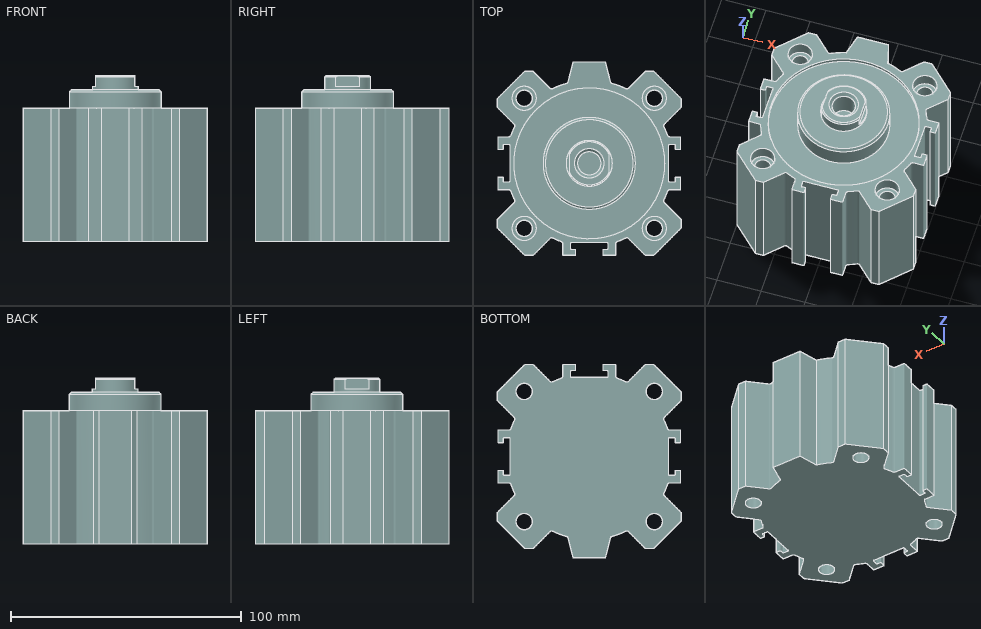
import cadquery as cq
import math

HOUSING_HEIGHT = 58.0
HALF_WIDTH = 40.0
BARREL_RADIUS = 36.1
ROOT_FILLET = 1.0
EDGE_TOLERANCE = 0.01

TIP_FLAT_START = 24.4
TIP_FLAT_END = 28.0
HOLE_OFFSET = 28.2
HOLE_DIAMETER = 7.0
COUNTERBORE_DIAMETER = 10.5
COUNTERBORE_DEPTH = 6.5

RAIL_HALF_WIDTH = 11.5
SLOT_HALF_WIDTH = 8.1
SLOT_MOUTH_HALF_WIDTH = 6.0
SLOT_FLOOR = 34.4
LIP_INNER = 37.3
SIDE_RAIL_REACH = 39.65
FRONT_RAIL_REACH = HALF_WIDTH
RAIL_CORNER_FILLET = 0.25

PORT_REACH = 44.0
PORT_TIP_HALF_WIDTH = 7.05
PORT_ROOT_HALF_WIDTH = 9.4
PORT_ROOT_DISTANCE = 34.8

RECESS_DIAMETER = 65.5
RECESS_DEPTH = 2.0
RECESS_FLOOR = HOUSING_HEIGHT - RECESS_DEPTH
BOSS_DIAMETER = 40.0
BOSS_TOP = 65.9
BOSS_CHAMFER = 1.0

ROD_DIAMETER = 20.0
ROD_TOP = 72.0
ROD_BOTTOM = RECESS_FLOOR
ROD_CHAMFER = 0.6
FLAT_WIDTH = 17.1
FLAT_HEIGHT = 4.6
ROD_HOLE_DIAMETER = 10.1
ROD_HOLE_MOUTH_DIAMETER = 12.8
COUNTERSINK_ANGLE = 90
ROD_HOLE_DEPTH = 12.6


def cylinder(diameter, bottom, top):
    """Upright cylinder on the Z axis between two heights."""
    return cq.Workplane("XY", origin=(0, 0, bottom)).circle(diameter / 2).extrude(top - bottom)


def prism(points):
    """Extrude a closed outline over the full housing height."""
    return cq.Workplane("XY").polyline(points).close().extrude(HOUSING_HEIGHT)


def arm(angle):
    """One diagonal arm, modelled towards +X +Y and turned about Z."""
    inset = HALF_WIDTH - TIP_FLAT_START
    outline = [
        (inset, 0),
        (HALF_WIDTH, TIP_FLAT_START),
        (HALF_WIDTH, TIP_FLAT_END),
        (TIP_FLAT_END, HALF_WIDTH),
        (TIP_FLAT_START, HALF_WIDTH),
        (0, inset),
    ]
    return prism(outline).rotate((0, 0, 0), (0, 0, 1), angle)


def turned_slab(inner, outer, half_width, angle):
    """Full-height slab spanning inner to outer along +X, turned about Z."""
    slab = cq.Workplane("XY").box(
        outer - inner, 2 * half_width, HOUSING_HEIGHT, centered=(False, True, False)
    )
    return slab.translate((inner, 0, 0)).rotate((0, 0, 0), (0, 0, 1), angle)


def port_block():
    """Tapered block reaching out on the +Y side."""
    return prism([
        (-PORT_ROOT_HALF_WIDTH, 0),
        (-PORT_ROOT_HALF_WIDTH, PORT_ROOT_DISTANCE),
        (-PORT_TIP_HALF_WIDTH, PORT_REACH),
        (PORT_TIP_HALF_WIDTH, PORT_REACH),
        (PORT_ROOT_HALF_WIDTH, PORT_ROOT_DISTANCE),
        (PORT_ROOT_HALF_WIDTH, 0),
    ])


def is_wall_root(edge):
    """True for an inside corner where an arm or a rail leaves the round wall."""
    centre = edge.Center()
    on_wall = abs(math.hypot(centre.x, centre.y) - BARREL_RADIUS) < EDGE_TOLERANCE
    beside_port = abs(centre.x) < PORT_ROOT_HALF_WIDTH and centre.y > 0
    return on_wall and not beside_port


def is_rail_corner(edge):
    """True for a corner of a rail, of the slot mouth or of the slot chamber."""
    centre = edge.Center()
    near, far = sorted((abs(centre.x), abs(centre.y)))
    corner_distances = (SLOT_FLOOR, LIP_INNER, SIDE_RAIL_REACH, FRONT_RAIL_REACH)
    at_corner = any(abs(far - distance) < EDGE_TOLERANCE for distance in corner_distances)
    return at_corner and near < RAIL_HALF_WIDTH + EDGE_TOLERANCE


def make_housing():
    rails = [(0, SIDE_RAIL_REACH), (180, SIDE_RAIL_REACH), (270, FRONT_RAIL_REACH)]

    body = cylinder(2 * BARREL_RADIUS, 0, HOUSING_HEIGHT)
    for angle in (0, 90, 180, 270):
        body = body.union(arm(angle))
    for angle, reach in rails:
        body = body.union(turned_slab(0, reach, RAIL_HALF_WIDTH, angle))
    body = body.union(port_block())
    for angle, reach in rails:
        body = body.cut(turned_slab(SLOT_FLOOR, LIP_INNER, SLOT_HALF_WIDTH, angle))
        body = body.cut(turned_slab(SLOT_FLOOR, reach, SLOT_MOUTH_HALF_WIDTH, angle))
    body = body.edges("|Z").filter(is_wall_root).fillet(ROOT_FILLET)
    body = body.edges("|Z").filter(is_rail_corner).fillet(RAIL_CORNER_FILLET)

    body = (
        body.faces(">Z").workplane(origin=(0, 0, HOUSING_HEIGHT))
        .rect(2 * HOLE_OFFSET, 2 * HOLE_OFFSET, forConstruction=True).vertices()
        .cboreHole(HOLE_DIAMETER, COUNTERBORE_DIAMETER, COUNTERBORE_DEPTH)
    )

    recess = cylinder(RECESS_DIAMETER, RECESS_FLOOR, HOUSING_HEIGHT)
    boss = cylinder(BOSS_DIAMETER, RECESS_FLOOR, BOSS_TOP).faces(">Z").chamfer(BOSS_CHAMFER)
    body = body.cut(recess).union(boss)

    return body.cut(cylinder(ROD_DIAMETER, ROD_BOTTOM, BOSS_TOP))


def make_rod():
    rod = cylinder(ROD_DIAMETER, ROD_BOTTOM, ROD_TOP).faces(">Z").chamfer(ROD_CHAMFER)

    for side in (-1, 1):
        waste = (
            cq.Workplane("XY").box(ROD_DIAMETER, ROD_DIAMETER, FLAT_HEIGHT)
            .translate((side * (FLAT_WIDTH + ROD_DIAMETER) / 2, 0, ROD_TOP - FLAT_HEIGHT / 2))
        )
        rod = rod.cut(waste)

    return (
        rod.faces(">Z").workplane(origin=(0, 0, ROD_TOP))
        .cskHole(ROD_HOLE_DIAMETER, ROD_HOLE_MOUTH_DIAMETER, COUNTERSINK_ANGLE, depth=ROD_HOLE_DEPTH)
    )


housing = make_housing()
rod = make_rod()
result = cq.Compound.makeCompound([housing.val(), rod.val()])